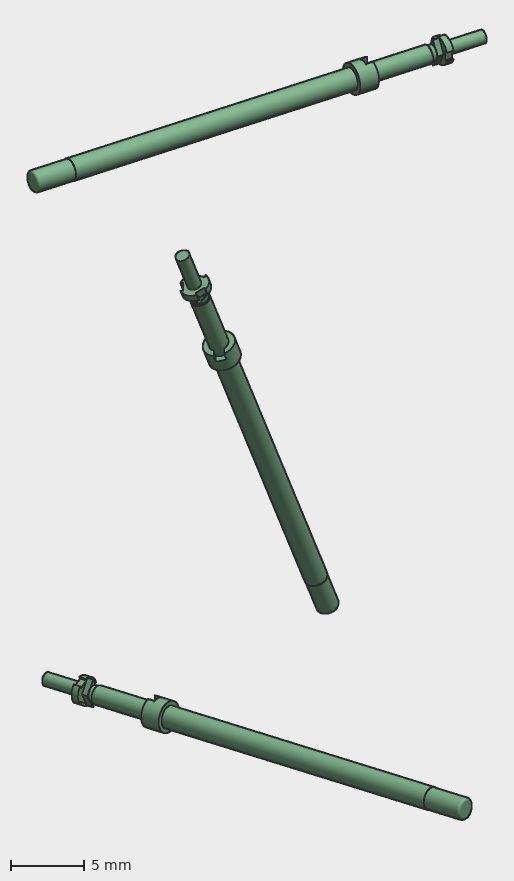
import cadquery as cq
import math

tail_end = -25.5
tail_joint = -22.5
collar_front = 0.0
collar_back = 1.5
barrel_end = 6.1
neck_end = 6.5
flange_front = 7.0
flange_back = 7.55
pin_end = 10.5

tube_diameter = 1.65
tail_diameter = 1.6
collar_diameter = 2.3
barrel_diameter = 1.4
neck_diameter = 1.2
flange_diameter = 2.1
pin_diameter = 1.0
tail_fillet = 0.2

key_side_angle = 30
key_half_width = 0.6
key_half_height = key_half_width / math.tan(math.radians(key_side_angle))

flange_slot_count = 3
flange_slot_width = 0.7
flange_slot_floor_radius = 0.8

collar_slot_width = 0.75
collar_slot_depth = 0.55


def rod(diameter, start, end):
    """Round section along Y between two stations."""
    return cq.Workplane("XZ", origin=(0, start, 0)).circle(diameter / 2).extrude(start - end)


def tail():
    return rod(tail_diameter, tail_end, tail_joint).faces("<Y").fillet(tail_fillet)


def collar():
    """Collar with a slot along Z that opens to its back face."""
    slot = cq.Workplane("XY").box(collar_slot_width, collar_slot_depth, collar_diameter)
    slot = slot.translate((0, collar_back - collar_slot_depth / 2, 0))
    return rod(collar_diameter, collar_front, collar_back).cut(slot)


def flange():
    """Flange with slots in its rim, spaced evenly from the +X side."""
    body = rod(flange_diameter, flange_front, flange_back)
    slot_length = flange_diameter / 2
    slot = cq.Workplane("XY").box(slot_length, flange_back - flange_front, flange_slot_width)
    slot_center_y = (flange_front + flange_back) / 2
    slot = slot.translate((flange_slot_floor_radius + slot_length / 2, slot_center_y, 0))
    for index in range(flange_slot_count):
        angle = index * 360 / flange_slot_count
        body = body.cut(slot.rotate((0, 0, 0), (0, 1, 0), angle))
    return body


def key():
    """Rhombic prism between the neck and the flange."""
    return (
        cq.Workplane("XZ", origin=(0, neck_end, 0))
        .moveTo(key_half_width, 0)
        .lineTo(0, key_half_height)
        .lineTo(-key_half_width, 0)
        .lineTo(0, -key_half_height)
        .close()
        .extrude(neck_end - flange_front)
    )


result = (
    tail()
    .union(rod(tube_diameter, tail_joint, collar_front))
    .union(collar())
    .union(rod(barrel_diameter, collar_front, barrel_end))
    .union(rod(neck_diameter, barrel_end, neck_end))
    .union(key())
    .union(flange())
    .union(rod(pin_diameter, flange_back, pin_end))
)